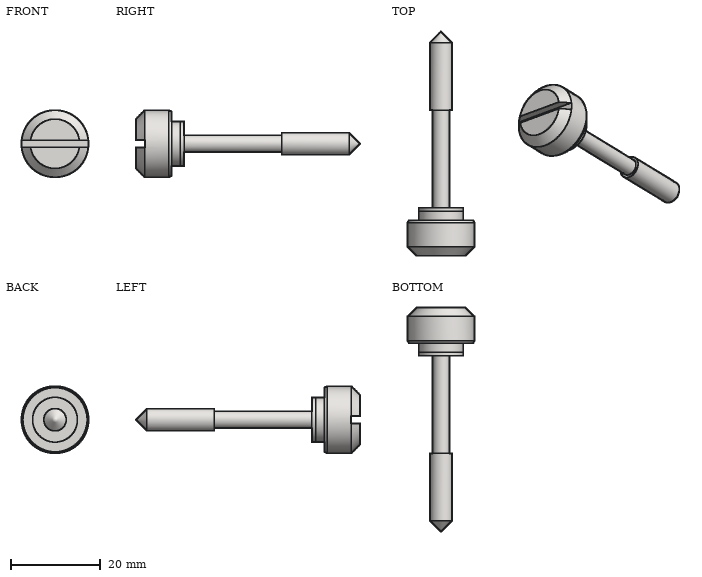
import cadquery as cq

total_length = 50.0

head_radius = 7.5
head_length = 8.0
front_chamfer = 2.0
back_chamfer_length = 0.6
back_chamfer_depth = 0.35
slot_width = 1.65
slot_depth = front_chamfer

collar_radius = 5.0
collar_end = 10.75
washer_thickness = 0.8
shoulder_end = collar_end - washer_thickness

neck_radius = 1.9
stud_radius = 2.5
stud_start = 32.5
tip_length = stud_radius


def make_screw():
    """Revolve the screw profile about Y, then cut the driver slot."""
    profile = [
        (0, 0),
        (head_radius - front_chamfer, 0),
        (head_radius, front_chamfer),
        (head_radius, head_length - back_chamfer_length),
        (head_radius - back_chamfer_depth, head_length),
        (collar_radius, head_length),
        (collar_radius, shoulder_end),
        (neck_radius, shoulder_end),
        (neck_radius, stud_start),
        (stud_radius, stud_start),
        (stud_radius, total_length - tip_length),
        (0, total_length),
    ]
    turned = cq.Workplane("XY").polyline(profile).close().revolve(360, (0, 0, 0), (0, 1, 0))
    slot = cq.Workplane("XY").box(2 * head_radius, slot_depth, slot_width, centered=(True, False, True))
    return turned.cut(slot)


def make_washer():
    """Flat ring fitting closely around the neck, against the shoulder."""
    profile = [
        (neck_radius, shoulder_end),
        (collar_radius, shoulder_end),
        (collar_radius, collar_end),
        (neck_radius, collar_end),
    ]
    return cq.Workplane("XY").polyline(profile).close().revolve(360, (0, 0, 0), (0, 1, 0))


screw = make_screw()
washer = make_washer()

result = cq.Compound.makeCompound([screw.val(), washer.val()])